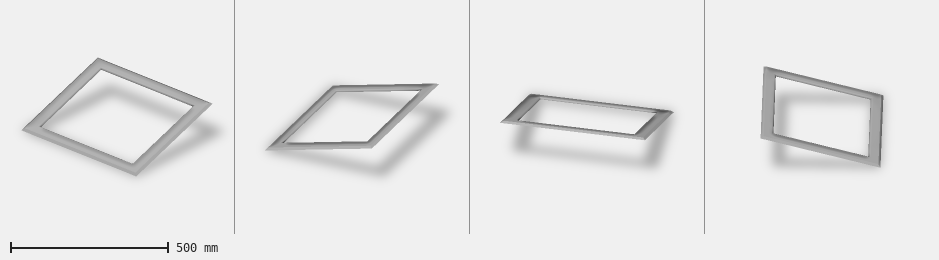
import cadquery as cq
import math

tilt = 15.0
frame_width = 474.0
plan_depth = 380.5
frame_depth = plan_depth / math.cos(math.radians(tilt))
thickness = 6.0
outer_bevel = 8.5

opening_width = 379.0
opening_depth = 311.5
rounding = 7.0


def bevelled_plate():
    """Plate whose outer sides slope inward from a sharp lower rim."""
    bevel_angle = math.degrees(math.atan2(outer_bevel, thickness))
    return cq.Workplane("XY").rect(frame_width, frame_depth).extrude(thickness, taper=bevel_angle)


def rounded_opening_block():
    """Block deeper than the frame, pierced by the opening with its top edges rounded."""
    block = (
        cq.Workplane("XY", origin=(0, 0, thickness))
        .rect(frame_width, frame_depth)
        .rect(opening_width, opening_depth)
        .extrude(-2 * rounding)
    )
    opening_edges = block.faces(">Z").wires().vals()[1].Edges()
    return block.newObject(opening_edges).fillet(rounding)


frame = bevelled_plate().intersect(rounded_opening_block())

result = frame.rotate((0, 0, 0), (1, 0, 0), tilt)